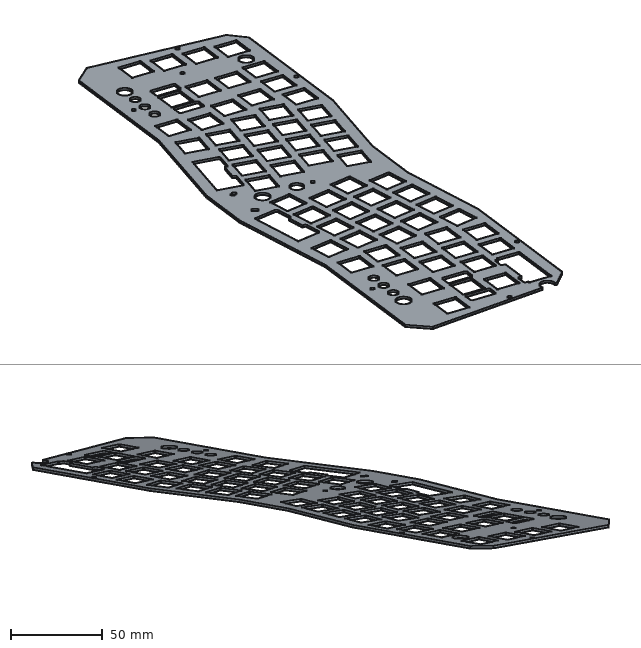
import cadquery as cq
import math

length = 354.8
width = 117.0
thickness = 1.5
shoulder_x = 160.7
shoulder_drop_x = 169.5
shoulder_drop_y = 49.5
widest_y = -35.0
foot_x = 167.5
foot_y = -46.5
dip_x = 18.0
dip_y = 48.5
belly_x = 17.0
tilt = 10.0

ten_key_span = 190.5
pitch = ten_key_span / 10
eighth = pitch / 8
key_grip = 0.18
key_size = 14.2 - key_grip
relief_diameter = 0.7
relief_inset = 0.15

bottom_row = 4
top_row_y = 44.0
outer_column_shift = 0.95
outer_column_x = shoulder_x + outer_column_shift
number_key_lift = 1.95
letter_key_lift = 0.9
bottom_key_shift = 1.65
bottom_key_x = 5 * pitch - bottom_key_shift

left_keys = [(0, (3, 15, 23)), (1, (2, 16, 26)), (2, (1, 16, 27)), (3, (0, 17, 30))]
right_keys = [(0, (19,)), (1, (4, 14, 22)), (2, (6, 19, 27)), (3, (0, 11, 22, 30))]
left_number_key = 31
right_number_key = 27
right_letter_key = 30

field_top_y = 30.0
field_keys_per_row = 4
left_field_starts = (16.5, 25.2, 19.5, 9.0)
right_field_starts = (26.3, 15.5, 19.5, 9.0)
field_bottom_key_x = 63.5
thumb_key_x = 28.0
thumb_key_length = 35.5

slot_width = 7.0
slot_height = 16.0
slot_corner_radius = 1.0
slot_gap = 23.8
slot_offset = slot_gap / 2
slot_rise = 1.0
backspace_slot_rise = -1.6
right_wide_key = 6
left_wide_key = 17
backspace = 7
thumb_slot_width = 12.0
thumb_slot_rise = 1.0

post_diameter = 9.0
top_post = 9
edge_notch = -3
lower_post_x = 143.0
centre_low_post_drop = 1.0
centre_high_post_diameter = 8.0
centre_post_spacing = 22.0
cable_diameter = 6.0
cable_middle_x = 122.5
cable_spacing = 10.0
screw_diameter = 2.4
side_screw_x = 170.3
side_screw_y = 18.8
inner_screw_x = -144.8
top_screw_y = 56.5
left_top_screw_x = -108.5
right_top_screw_x = 117.8
bottom_screw_y = -39.5
centre_screw_y = -1.0

slant_slot_x = 11.0
slant_slot_y = -45.0
slant_slot_length = 4.3
slant_slot_angle = 60.0


def row_y(row):
    """Height of a straight row, counted from 0 at the top."""
    return top_row_y - row * pitch


def field_y(row):
    """Height of a tilted row before tilting, counted from 0 at the top."""
    return field_top_y - row * pitch


def column_x(side, eighths):
    """X of a grid position on the left (-1) or right (1) side."""
    return side * (outer_column_x - eighths * eighth)


def block(x, y, block_length, block_height):
    return cq.Workplane("XY").center(x, y).rect(block_length, block_height).extrude(thickness)


def discs(points, diameter):
    return cq.Workplane("XY").pushPoints(points).circle(diameter / 2).extrude(thickness)


def key(x, y, key_length=key_size):
    """Rectangular cutter with a small round relief in each corner."""
    dx = key_length / 2 - relief_inset
    dy = key_size / 2 - relief_inset
    corners = [(x + i * dx, y + j * dy) for i in (-1, 1) for j in (-1, 1)]
    return block(x, y, key_length, key_size).union(discs(corners, relief_diameter))


def slot_pair(x, y, offset, slot_length):
    """Two rounded stabilizer slots, placed evenly about the middle of a wide key."""
    slots = [block(x + i * offset, y, slot_length, slot_height) for i in (-1, 1)]
    left_slot, right_slot = [slot.edges("|Z").fillet(slot_corner_radius) for slot in slots]
    return left_slot.union(right_slot)


def tilted(cutter, side):
    """Turn a cutter of the left (-1) or right (1) field about the plate centre."""
    return cutter.rotate((0, 0, 0), (0, 0, 1), side * tilt)


def make_plate():
    slope = math.tan(math.radians(tilt))
    right_half = [
        (dip_x, dip_y),
        (dip_x + (width / 2 - dip_y) / slope, width / 2),
        (shoulder_x, width / 2),
        (shoulder_drop_x, shoulder_drop_y),
        (length / 2, widest_y),
        (foot_x, foot_y),
        (belly_x + (width / 2 + foot_y) / slope, foot_y),
        (belly_x, -width / 2),
    ]
    left_half = [(-x, y) for x, y in reversed(right_half)]
    return cq.Workplane("XY").polyline(right_half + left_half).close().extrude(thickness)


def straight_key_cutters():
    cutters = []
    for side, rows in ((-1, left_keys), (1, right_keys)):
        for row, positions in rows:
            cutters += [key(column_x(side, position), row_y(row)) for position in positions]
        cutters.append(key(side * bottom_key_x, row_y(bottom_row)))
    cutters.append(key(column_x(-1, left_number_key), row_y(0) + number_key_lift))
    cutters.append(key(column_x(1, right_number_key), row_y(0) + number_key_lift))
    cutters.append(key(column_x(1, right_letter_key), row_y(1) + letter_key_lift))
    return cutters


def wide_key_cutters():
    """Slots beside the two wide keys, and the backspace opening with its slots."""
    right_slots = slot_pair(column_x(1, right_wide_key), row_y(2) + slot_rise, slot_offset, slot_width)
    left_slots = slot_pair(column_x(-1, left_wide_key), row_y(3) + slot_rise, slot_offset, slot_width)
    backspace_x = column_x(1, backspace)
    backspace_slots = slot_pair(backspace_x, row_y(0) + backspace_slot_rise, slot_offset, slot_width)
    backspace_opening = key(backspace_x, row_y(0), pitch + key_size).union(backspace_slots)
    return [right_slots, left_slots, backspace_opening]


def field_cutters(side, row_starts):
    """One tilted field: four rows of keys, one bottom key and the thumb key."""
    cutters = []
    for row, start in enumerate(row_starts):
        for i in range(field_keys_per_row):
            cutters.append(key(side * (start + i * pitch), field_y(row)))
    cutters.append(key(side * field_bottom_key_x, field_y(bottom_row)))

    thumb_x = side * thumb_key_x
    thumb_slot_offset = (thumb_key_length - thumb_slot_width) / 2
    thumb_slots = slot_pair(thumb_x, field_y(bottom_row) + thumb_slot_rise, thumb_slot_offset, thumb_slot_width)
    cutters.append(block(thumb_x, field_y(bottom_row), thumb_key_length, key_size).union(thumb_slots))
    return [tilted(cutter, side) for cutter in cutters]


def round_hole_cutters():
    low_post_y = row_y(bottom_row) - centre_low_post_drop
    posts = [(column_x(-1, top_post), row_y(0)), (column_x(1, edge_notch), row_y(0)), (0, low_post_y)]
    cables = []
    screws = [
        (inner_screw_x, row_y(2)),
        (left_top_screw_x, top_screw_y),
        (right_top_screw_x, top_screw_y),
        (0, centre_screw_y),
    ]
    for side in (-1, 1):
        posts.append((side * lower_post_x, row_y(bottom_row)))
        cables += [(side * (cable_middle_x + i * cable_spacing), row_y(bottom_row)) for i in (-1, 0, 1)]
        screws.append((side * side_screw_x, side_screw_y))
        screws.append((side * cable_middle_x, bottom_screw_y))
    return [
        discs(posts, post_diameter),
        discs([(0, low_post_y + centre_post_spacing)], centre_high_post_diameter),
        discs(cables, cable_diameter),
        discs(screws, screw_diameter),
    ]


def slant_slot_cutter(side):
    sketch = cq.Workplane("XY").center(side * slant_slot_x, slant_slot_y)
    return sketch.slot2D(slant_slot_length, screw_diameter, side * slant_slot_angle).extrude(thickness)


cutters = straight_key_cutters() + wide_key_cutters() + round_hole_cutters()
cutters += field_cutters(-1, left_field_starts) + field_cutters(1, right_field_starts)
cutters += [slant_slot_cutter(-1), slant_slot_cutter(1)]
solids = [solid for cutter in cutters for solid in cutter.vals()]
result = make_plate().cut(cq.Workplane(cq.Compound.makeCompound(solids)))